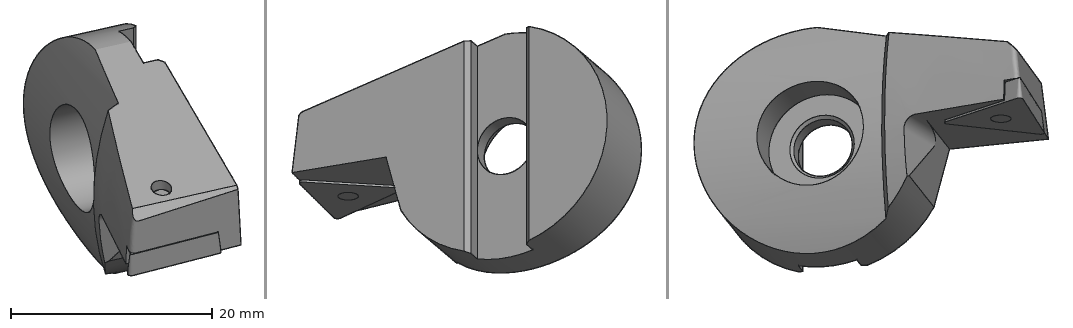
import cadquery as cq
import math


hub_radius = 12.0
outline_slope = 15.0
heel_angle = 30.0
arm_chamfer_x = 21.18
end_x = 22.22

hub_depth = 8.5
crown_radius = 30.0
step_start_x = 7.4
step_end_x = 8.05
step_height = 1.25
arm_face_slope = 9.7

bore_radius = 3.0
bore_chamfer = 0.3
counterbore_radius = 5.5
counterbore_floor_y = -4.13
slot_depth = 2.1
slot_chamfer = 0.52

gullet_x = 10.15
gullet_y = -10.05
gullet_angle = 15.0
gullet_radius = 1.33

insert_inradius = 3.15
insert_thickness = 2.28
insert_bottom_z = -0.25
nose_radius = 0.4
nose_reach_x = 23.0
nose_reach_y = -12.5
relief_angle = 7.0
side_tilt = 3.0

tip_radius = 0.45
notch_x = 20.95
notch_y = -11.27

screw_x = 19.4
screw_y = -7.42
screw_radius = 1.0
screw_end_chamfer = 0.2
screw_end_z = 6.15

margin = 3.5

slope_tan = math.tan(math.radians(outline_slope))
insert_top_z = insert_bottom_z + insert_thickness
nose_to_center = 2 * (insert_inradius - nose_radius)
bisector = math.radians(120 + side_tilt)
insert_x = nose_reach_x - nose_radius + nose_to_center * math.cos(bisector)
insert_y = nose_reach_y + nose_radius + nose_to_center * math.sin(bisector)


def arm_top_z(x):
    return hub_radius - x * slope_tan


def outline_prism():
    """Hub and arm seen along Y, extruded forward from the mounting face."""
    chamfer_z = arm_top_z(arm_chamfer_x)
    heel = math.radians(heel_angle)
    return (
        cq.Workplane("XZ")
        .moveTo(0, hub_radius)
        .lineTo(arm_chamfer_x, chamfer_z)
        .lineTo(arm_chamfer_x + chamfer_z, 0)
        .lineTo(hub_radius, 0)
        .lineTo(hub_radius * math.cos(heel), -hub_radius * math.sin(heel))
        .threePointArc((-hub_radius * math.sin(heel), -hub_radius * math.cos(heel)), (-hub_radius, 0))
        .threePointArc((-hub_radius * math.sqrt(0.5), hub_radius * math.sqrt(0.5)), (0, hub_radius))
        .close()
        .extrude(-nose_reach_y + margin)
    )


def crowned_slab():
    """Slab between the mounting face and the arched front face with its step and sloping arm face."""
    far_x = arm_chamfer_x + 2 * margin
    arm_depth = hub_depth + step_height
    far_depth = arm_depth + (far_x - step_end_x) * math.tan(math.radians(arm_face_slope))
    stations = [
        (-hub_radius - margin, hub_depth, crown_radius),
        (step_start_x, hub_depth, crown_radius),
        (step_end_x, arm_depth, crown_radius + step_height),
        (far_x, far_depth, crown_radius + step_height),
    ]
    half_height = hub_radius + margin

    sections = []
    for x, depth, arch_radius in stations:
        arch_drop = arch_radius - math.sqrt(arch_radius**2 - half_height**2)
        section = (
            cq.Workplane("YZ", origin=(x, 0, 0))
            .moveTo(0, -half_height)
            .lineTo(arch_drop - depth, -half_height)
            .threePointArc((-depth, 0), (arch_drop - depth, half_height))
            .lineTo(0, half_height)
            .close()
        )
        sections.append(section.wires().val())
    return cq.Workplane(cq.Solid.makeLoft(sections, True))


def arm_end_cutter():
    """Everything beyond the arm end plane, which runs parallel to the end side of the insert."""
    tilt = math.radians(side_tilt)
    relief = math.radians(relief_angle)
    normal = (math.cos(relief) * math.cos(tilt), math.cos(relief) * math.sin(tilt), math.sin(relief))
    plane = cq.Plane(origin=(end_x, 0, 0), xDir=(-math.sin(tilt), math.cos(tilt), 0), normal=normal)
    return cq.Workplane(plane).rect(4 * hub_radius, 4 * hub_radius).extrude(2 * margin)


def gullet_cutter():
    """Block below the arm whose rounded upper edge leaves a fillet between the wall and the underside."""
    length = 3 * hub_radius
    return (
        cq.Workplane("XY")
        .box(hub_radius, length, hub_radius, centered=(False, True, False))
        .edges("<X and >Z")
        .fillet(gullet_radius)
        .rotate((0, 0, 0), (0, 0, 1), -gullet_angle)
        .translate((gullet_x, gullet_y, -hub_radius))
    )


def hub_hole_cutter():
    """Counterbore from the front and a chamfered bore through to the mounting face."""
    counterbore = (
        cq.Workplane("XZ", origin=(0, counterbore_floor_y, 0))
        .circle(counterbore_radius)
        .extrude(hub_depth + margin)
    )
    bore = cq.Workplane("XZ").circle(bore_radius).extrude(-counterbore_floor_y)
    rim = cq.Workplane(
        cq.Solid.makeCone(
            bore_radius + bore_chamfer,
            bore_radius,
            bore_chamfer,
            pnt=cq.Vector(0, counterbore_floor_y, 0),
            dir=cq.Vector(0, 1, 0),
        )
    )
    return counterbore.union(bore).union(rim)


def slot_cutter():
    """Driving slot across the mounting face, as wide as the bore, with chamfered mouth edges."""
    mouth = bore_radius + slot_chamfer
    return (
        cq.Workplane("XY")
        .moveTo(-mouth, 0)
        .lineTo(-bore_radius, -slot_chamfer)
        .lineTo(-bore_radius, -slot_depth)
        .lineTo(bore_radius, -slot_depth)
        .lineTo(bore_radius, -slot_chamfer)
        .lineTo(mouth, 0)
        .close()
        .extrude(hub_radius + margin, both=True)
    )


def insert_blank():
    """Equilateral triangle with rounded corners, one side facing the arm end, tapering upward on all sides."""
    corners = []
    for index in range(3):
        angle = math.radians(60 + side_tilt + 120 * index)
        corners.append((nose_to_center * math.cos(angle), nose_to_center * math.sin(angle)))
    return (
        cq.Workplane("XY", origin=(insert_x, insert_y, insert_bottom_z))
        .polyline(corners)
        .close()
        .offset2D(nose_radius, "arc")
        .extrude(insert_thickness, taper=relief_angle)
    )


def notch_cutter():
    """Block in front of the insert, up to the height of its top face."""
    return (
        cq.Workplane("XY", origin=(notch_x, notch_y - margin, insert_top_z - margin))
        .box(margin, margin, margin, centered=False)
    )


def screw_cylinder(start_z, end_z):
    return (
        cq.Workplane("XY", origin=(screw_x, screw_y, start_z))
        .circle(screw_radius)
        .extrude(end_z - start_z)
    )


def make_holder():
    body = outline_prism().intersect(crowned_slab()).cut(arm_end_cutter())
    tip_edge_point = (nose_reach_x, nose_reach_y, insert_top_z)
    body = body.edges(cq.selectors.NearestToPointSelector(tip_edge_point)).fillet(tip_radius)
    body = body.cut(gullet_cutter()).cut(hub_hole_cutter()).cut(slot_cutter())
    body = body.cut(insert_blank()).cut(notch_cutter())
    return body.cut(screw_cylinder(insert_bottom_z, hub_radius))


def make_insert():
    return insert_blank().cut(screw_cylinder(insert_bottom_z, insert_top_z))


def make_screw():
    body = screw_cylinder(insert_bottom_z, screw_end_z)
    return body.faces(">Z").chamfer(screw_end_chamfer)


holder = make_holder().solids()
insert = make_insert().solids()
screw = make_screw().solids()

result = cq.Compound.makeCompound([holder.val(), insert.val(), screw.val()])